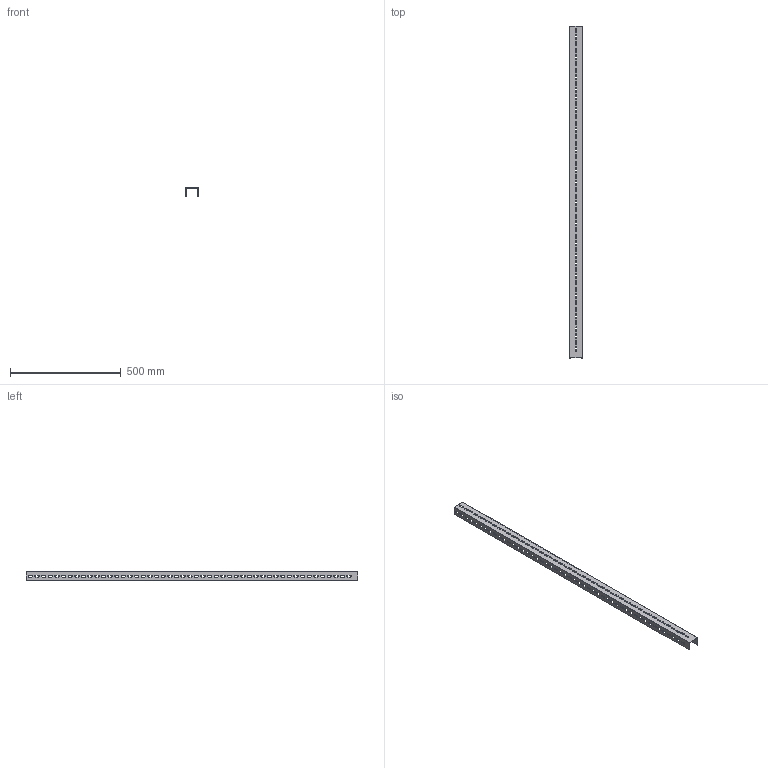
import cadquery as cq

width = 55.0
length = 1500.0
height = 40.0
thickness = 2.0

slot_length = 20.0
slot_width = 9.0
slot_pitch = 30.0
slot_count = 49
first_slot_inset = 20.0
flange_slot_height = 19.5


def make_channel():
    """U-shaped channel, open downwards, centred on X and Y with its free edges at Z = 0."""
    outer = cq.Workplane("XY").box(width, length, height, centered=(True, True, False))
    inner = cq.Workplane("XY").box(
        width - 2 * thickness, length, height - thickness, centered=(True, True, False)
    )
    return outer.cut(inner)


def slot_positions():
    """Y coordinates of the slot centres, from the +Y end towards -Y."""
    first = length / 2 - first_slot_inset
    return [first - i * slot_pitch for i in range(slot_count)]


def web_slot_cutter():
    """Slots through the web."""
    return (
        cq.Workplane("XY", origin=(0, 0, height - thickness))
        .pushPoints([(0, y) for y in slot_positions()])
        .slot2D(slot_length, slot_width, 90)
        .extrude(thickness)
    )


def flange_slot_cutter():
    """Slots through both flanges in one pass."""
    return (
        cq.Workplane("YZ", origin=(-width / 2, 0, 0))
        .pushPoints([(y, flange_slot_height) for y in slot_positions()])
        .slot2D(slot_length, slot_width)
        .extrude(width)
    )


result = make_channel().cut(web_slot_cutter()).cut(flange_slot_cutter())